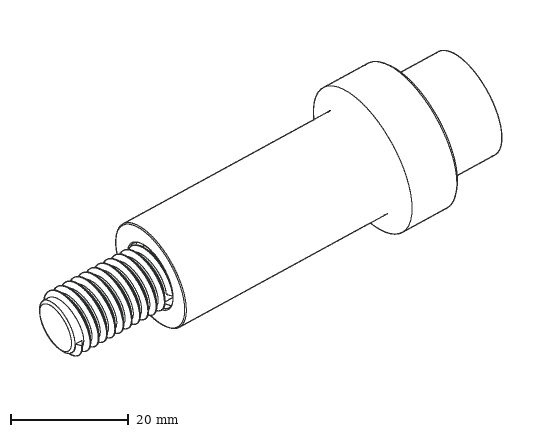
import cadquery as cq

TOTAL_LENGTH = 87.0
STUD_PROJECTION = 20.0
REAR_LENGTH = 12.0
COLLAR_LENGTH = 10.0
REAR_Y = TOTAL_LENGTH - STUD_PROJECTION
COLLAR_REAR_Y = REAR_Y - REAR_LENGTH
COLLAR_FRONT_Y = COLLAR_REAR_Y - COLLAR_LENGTH

COLLAR_RADIUS = 14.0
BODY_RADIUS = 10.0
COLLAR_CHAMFER = 0.5
FRONT_CHAMFER = 0.2
NECK_FILLET = 1.0

CREST_RADIUS = 6.0
CORE_RADIUS = 5.05
THREAD_LENGTH = 19.2
TURNS = 11
PITCH = THREAD_LENGTH / TURNS
CREST_WIDTH = 0.2
ROOT_WIDTH = 1.4
THREAD_START = -0.35
RIDGE_EMBED = 0.2
TIP_CHAMFER_WIDTH = 0.5
TIP_CHAMFER_LENGTH = 0.35
RECESS_RADIUS = 6.3
RECESS_DEPTH = 1.5
HOLE_DEPTH = STUD_PROJECTION


def revolve_about_y(outline):
    """Solid of revolution around the common axis of both bodies."""
    return outline.close().revolve(360, (0, 0, 0), (0, 1, 0))


def make_sleeve():
    """Stepped sleeve with a collar, and a blind hole with a shallow recess in its front face."""
    outline = (
        cq.Workplane("XY")
        .moveTo(0, HOLE_DEPTH)
        .lineTo(CORE_RADIUS, HOLE_DEPTH)
        .lineTo(CORE_RADIUS, RECESS_DEPTH)
        .lineTo(RECESS_RADIUS, RECESS_DEPTH)
        .lineTo(RECESS_RADIUS, FRONT_CHAMFER)
        .lineTo(RECESS_RADIUS + FRONT_CHAMFER, 0)
        .lineTo(BODY_RADIUS - FRONT_CHAMFER, 0)
        .lineTo(BODY_RADIUS, FRONT_CHAMFER)
        .lineTo(BODY_RADIUS, COLLAR_FRONT_Y - NECK_FILLET)
        .tangentArcPoint((BODY_RADIUS + NECK_FILLET, COLLAR_FRONT_Y), relative=False)
        .lineTo(COLLAR_RADIUS, COLLAR_FRONT_Y)
        .lineTo(COLLAR_RADIUS, COLLAR_REAR_Y - COLLAR_CHAMFER)
        .lineTo(COLLAR_RADIUS - COLLAR_CHAMFER, COLLAR_REAR_Y)
        .lineTo(BODY_RADIUS, COLLAR_REAR_Y)
        .lineTo(BODY_RADIUS, REAR_Y)
        .lineTo(0, REAR_Y)
    )
    return revolve_about_y(outline)


def make_thread_ridge():
    """Right-hand helical ridge around Z, climbing toward +Z from the +X side."""
    flank_slope = (ROOT_WIDTH - CREST_WIDTH) / (CREST_RADIUS - CORE_RADIUS)
    base_radius = CORE_RADIUS - RIDGE_EMBED
    half_base = (ROOT_WIDTH + flank_slope * RIDGE_EMBED) / 2
    half_crest = CREST_WIDTH / 2
    helix = cq.Wire.makeHelix(PITCH, THREAD_LENGTH, CORE_RADIUS)
    section = (
        cq.Workplane("XZ")
        .moveTo(base_radius, -half_base)
        .lineTo(CREST_RADIUS, -half_crest)
        .lineTo(CREST_RADIUS, half_crest)
        .lineTo(base_radius, half_base)
        .close()
    )
    ridge = section.sweep(cq.Workplane(helix), isFrenet=True)
    return ridge.translate((0, 0, THREAD_START))


def make_stud():
    """Stud that fills the hole and is threaded where it stands out of the sleeve."""
    core = revolve_about_y(
        cq.Workplane("XY")
        .moveTo(0, HOLE_DEPTH)
        .lineTo(CORE_RADIUS, HOLE_DEPTH)
        .lineTo(CORE_RADIUS, TIP_CHAMFER_LENGTH - STUD_PROJECTION)
        .lineTo(CORE_RADIUS - TIP_CHAMFER_WIDTH, -STUD_PROJECTION)
        .lineTo(0, -STUD_PROJECTION)
    )
    ridge = make_thread_ridge().rotate((0, 0, 0), (1, 0, 0), 90)
    return core.union(ridge).solids()


sleeve = make_sleeve()
stud = make_stud()

result = cq.Compound.makeCompound([sleeve.val(), stud.val()])